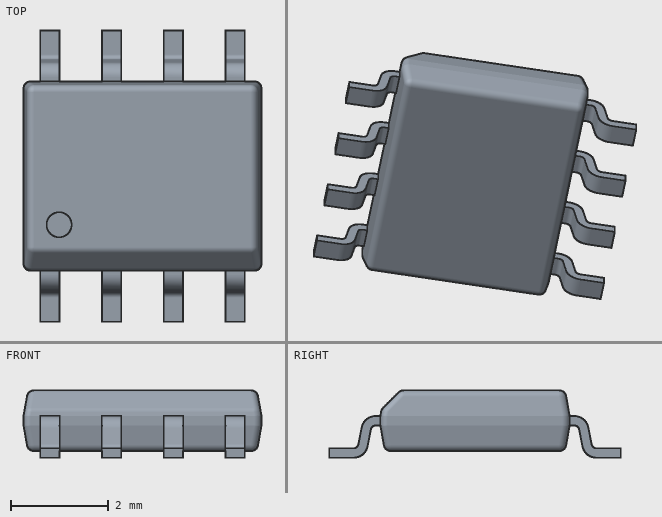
import cadquery as cq
import math

body_length = 4.9
body_width = 3.9
body_bottom = 0.14
body_top = 1.39
draft_angle = 10.0
edge_radius = 0.15

bevel_top_y = -1.53
bevel_angle = 45.0

dimple_x = -1.715
dimple_y = -1.0
dimple_radius = 0.26
dimple_depth = 0.1

leads_per_side = 4
lead_pitch = 1.27
lead_width = 0.4
lead_thickness = 0.2
lead_tip_y = 3.0
foot_length = 0.5
shoulder_top = 0.865
leg_lean = 11.0
inner_radius = 0.1
outer_radius = inner_radius + lead_thickness
lead_embed = 0.18

band_top = shoulder_top
band_bottom = shoulder_top - lead_thickness

tolerance = 0.0005


def tapered_half(start_z, height):
    """Drafted half of the body; a negative height grows downwards."""
    return (
        cq.Workplane("XY")
        .workplane(offset=start_z)
        .rect(body_length, body_width)
        .extrude(height, taper=draft_angle)
    )


def make_bevel_cutter():
    """Triangular prism that removes the top edge at the -Y side."""
    run = body_width / 2 + bevel_top_y
    drop = run * math.tan(math.radians(bevel_angle))
    return (
        cq.Workplane("YZ")
        .moveTo(bevel_top_y, body_top)
        .lineTo(-body_width / 2, body_top - drop)
        .lineTo(-body_width / 2, body_top)
        .close()
        .extrude(body_length / 2, both=True)
    )


def is_on_band_rim(edge):
    height = edge.Center().z
    return any(math.isclose(height, rim, abs_tol=tolerance) for rim in (band_bottom, band_top))


def make_body():
    band = (
        cq.Workplane("XY")
        .workplane(offset=band_bottom)
        .rect(body_length, body_width)
        .extrude(lead_thickness)
    )
    upper = tapered_half(band_top, body_top - band_top)
    lower = tapered_half(band_bottom, body_bottom - band_bottom)
    body = band.union(upper).union(lower).cut(make_bevel_cutter())

    rounded_edges = [edge for edge in body.edges().vals() if not is_on_band_rim(edge)]
    return body.newObject(rounded_edges).fillet(edge_radius)


def make_dimple():
    return (
        cq.Workplane("XY")
        .workplane(offset=body_top - dimple_depth)
        .center(dimple_x, dimple_y)
        .circle(dimple_radius)
        .extrude(dimple_depth)
    )


def arc_point(center, radius, angle):
    """Point on a circle at an angle in degrees from +Y towards +Z."""
    turn = math.radians(angle)
    return (center[0] + radius * math.cos(turn), center[1] + radius * math.sin(turn))


def make_lead_outline():
    """Side profile of a +Y lead: shoulder, upper bend, leg, lower bend, foot."""
    foot_center = (lead_tip_y - foot_length, outer_radius)
    shoulder_center_z = shoulder_top - outer_radius
    lean = math.radians(leg_lean)
    bend_radii = inner_radius + outer_radius
    leg_drop = shoulder_center_z - foot_center[1] + bend_radii * math.sin(lean)
    leg_span = bend_radii * math.cos(lean) + leg_drop * math.tan(lean)
    shoulder_center = (foot_center[0] - leg_span, shoulder_center_z)

    def shoulder_point(radius, angle):
        return arc_point(shoulder_center, radius, angle)

    def foot_point(radius, angle):
        return arc_point(foot_center, radius, angle)

    half_bend = (leg_lean + 90) / 2
    inside_y = body_width / 2 - lead_embed
    return (
        cq.Workplane("YZ")
        .moveTo(inside_y, shoulder_top)
        .lineTo(*shoulder_point(outer_radius, 90))
        .threePointArc(shoulder_point(outer_radius, half_bend), shoulder_point(outer_radius, leg_lean))
        .lineTo(*foot_point(inner_radius, 180 + leg_lean))
        .threePointArc(foot_point(inner_radius, 180 + half_bend), foot_point(inner_radius, 270))
        .lineTo(lead_tip_y, lead_thickness)
        .lineTo(lead_tip_y, 0)
        .lineTo(*foot_point(outer_radius, 270))
        .threePointArc(foot_point(outer_radius, 180 + half_bend), foot_point(outer_radius, 180 + leg_lean))
        .lineTo(*shoulder_point(inner_radius, leg_lean))
        .threePointArc(shoulder_point(inner_radius, half_bend), shoulder_point(inner_radius, 90))
        .lineTo(inside_y, band_bottom)
        .close()
    )


lead = make_lead_outline().extrude(lead_width / 2, both=True)

result = make_body().cut(make_dimple())
for index in range(leads_per_side):
    lead_x = (index - (leads_per_side - 1) / 2) * lead_pitch
    back_lead = lead.translate((lead_x, 0, 0))
    result = result.union(back_lead).union(back_lead.mirror("XZ"))